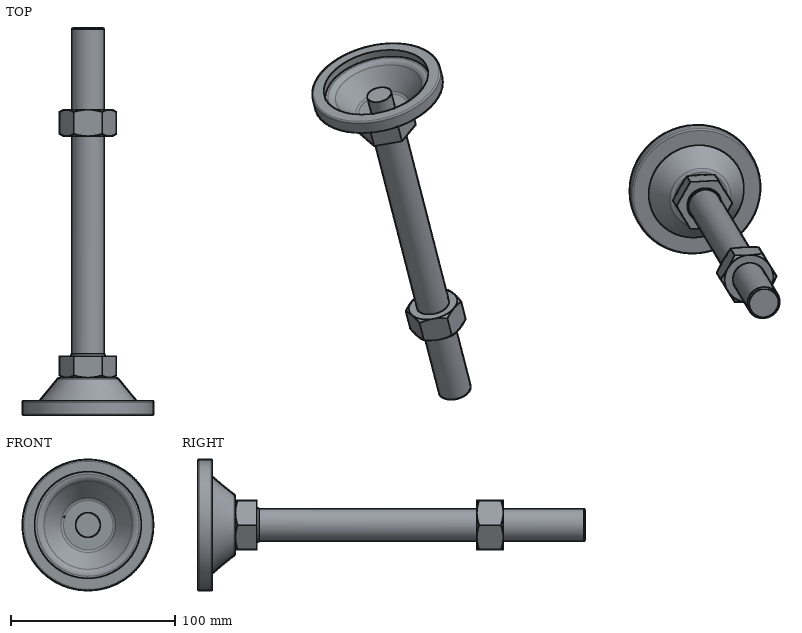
import cadquery as cq
import math


foot_radius = 40.0
foot_height = 23.0
flange_height = 9.0
flange_fillet = 1.0
cone_base_radius = 29.5
cone_top_radius = 18.0
cone_top_fillet = 3.0
recess_radius = 32.5
recess_depth = 5.0
cavity_mouth_radius = 28.5
cavity_mouth_fillet = 5.5
roof_radius = 16.0
roof_thickness = 3.0
roof_fillet = 2.0

across_flats = 30.0
bevel_angle = 30.0

rod_radius = 10.0
rod_end = 236.0
rod_end_chamfer = 1.0

pin_radius = 7.5
pin_end = 9.5
stud_hex_height = 13.0
collar_height = 1.5
collar_base_radius = 10.6

nut_start = 170.0
nut_height = 16.0

roof_level = foot_height - roof_thickness
stud_hex_end = foot_height + stud_hex_height
rod_start = stud_hex_end + collar_height
nut_end = nut_start + nut_height
across_corners = across_flats / math.cos(math.radians(30))


def turned(points):
    """Solid turned about the Y axis from (radius, Y) points, starting and ending on the axis."""
    return cq.Workplane("XY").polyline(points).close().revolve(360, (0, 0, 0), (0, 1, 0))


def disc(radius, start, end):
    """Cylinder about the Y axis between two Y positions."""
    return turned([(0, start), (radius, start), (radius, end), (0, end)])


def bevelled_hexagon(start, end, bevel_both_ends):
    """Hexagonal prism whose corners are coned away at its start and, if asked, at its end."""
    corner_radius = across_corners / 2
    bevel_radius = across_flats / 2
    bevel_length = (corner_radius - bevel_radius) * math.tan(math.radians(bevel_angle))
    points = [(0, start), (bevel_radius, start), (corner_radius, start + bevel_length)]
    if bevel_both_ends:
        points += [(corner_radius, end - bevel_length), (bevel_radius, end)]
    else:
        points.append((corner_radius, end))
    points.append((0, end))
    base = cq.Workplane("XZ", origin=(0, start, 0))
    prism = base.polygon(6, across_corners).extrude(start - end)
    return prism.intersect(turned(points))


def make_foot_cavity():
    """Hollow under the foot: a shallow round recess opening into a cone with a rounded mouth and roof."""
    cavity = turned([
        (0, 0),
        (recess_radius, 0),
        (recess_radius, recess_depth),
        (cavity_mouth_radius, recess_depth),
        (roof_radius, roof_level),
        (0, roof_level),
    ])
    cavity = cavity.edges(cq.selectors.RadiusNthSelector(1)).fillet(cavity_mouth_fillet)
    return cavity.faces(">Y").edges().fillet(roof_fillet)


def make_foot():
    flange = disc(foot_radius, 0, flange_height).faces("<Y or >Y").edges().fillet(flange_fillet)
    cone = turned([
        (0, 0),
        (cone_base_radius, 0),
        (cone_base_radius, flange_height),
        (cone_top_radius, foot_height),
        (0, foot_height),
    ])
    cone = cone.faces(">Y").edges().fillet(cone_top_fillet)
    return flange.union(cone).cut(make_foot_cavity()).cut(disc(pin_radius, roof_level, foot_height))


def make_stud():
    head = bevelled_hexagon(foot_height, stud_hex_end, False)
    collar = turned([
        (0, stud_hex_end),
        (collar_base_radius, stud_hex_end),
        (rod_radius, rod_start),
        (0, rod_start),
    ])
    return head.union(collar).union(disc(pin_radius, pin_end, foot_height))


def make_rod():
    return disc(rod_radius, rod_start, rod_end).faces(">Y").edges().chamfer(rod_end_chamfer)


def make_lock_nut():
    blank = bevelled_hexagon(nut_start, nut_end, True)
    return blank.cut(disc(rod_radius, nut_start, nut_end))


foot = make_foot()
stud = make_stud()
rod = make_rod()
lock_nut = make_lock_nut()

result = cq.Compound.makeCompound([foot.val(), stud.val(), rod.val(), lock_nut.val()])